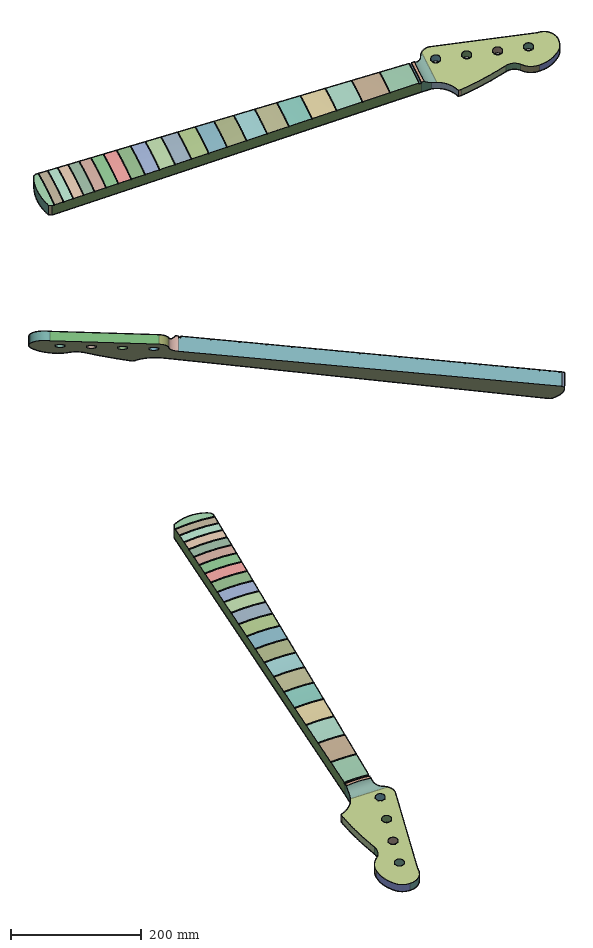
import cadquery as cq
import math

LENGTH = 854.0
NECK_THICKNESS = 26.0
HEADSTOCK_THICKNESS = 15.0

NUT_HALF_WIDTH = 20.5
HEEL_HALF_WIDTH = 33.0
HEEL_SIDE_Y = 11.0
HEEL_ARC_HALF_WIDTH = 31.0
HEEL_ARC_Y = 6.0
FINGERBOARD_RADIUS = 241.5

SCALE_LENGTH = 863.0
NUT_Y = 621.5
NUT_WIDTH = 3.0
NUT_DEPTH = 2.5
FRET_COUNT = 21
FRETS_PER_OCTAVE = 12
FRET_SLOT_WIDTH = 0.6
FRET_SLOT_DEPTH = 1.3
NECK_START_Y = NUT_Y + NUT_WIDTH

SCOOP_TOP_Y = 629.0
SCOOP_FOOT_Y = 650.0

HEAD_LEFT_X = -46.0
HEAD_RIGHT_X = 49.5
TREBLE_HORN_START = (NUT_HALF_WIDTH, 642.0)
TREBLE_HORN_TIP = (HEAD_RIGHT_X, 674.0)
TREBLE_EDGE_START = (HEAD_RIGHT_X, 679.5)
WAIST_START = (32.0, 760.0)
WAIST_END = (37.5, 782.0)
TIP_RIGHTMOST = (HEAD_RIGHT_X, 808.0)
TIP_CREST = (14.0, LENGTH)
TIP_END = (-10.0, 829.0)
BASS_CORNER = (HEAD_LEFT_X, 665.0)
BASS_CURL_MIDDLE = (-34.0, 645.0)
PEG_HOLE_DIAMETER = 15.0
PEG_COUNT = 4
FIRST_PEG_X = -20.5
FIRST_PEG_Y = 665.0
PEG_STEP_X = 10.0
PEG_STEP_Y = 47.0

CUT_MARGIN = 8.5
CUT_WIDTH = HEAD_RIGHT_X - HEAD_LEFT_X + 2 * CUT_MARGIN


def make_outline():
    """Extrude the outline of heel, neck and headstock to full thickness."""
    outline = (
        cq.Workplane("XY")
        .moveTo(-HEEL_ARC_HALF_WIDTH, HEEL_ARC_Y)
        .threePointArc((0, 0), (HEEL_ARC_HALF_WIDTH, HEEL_ARC_Y))
        .lineTo(HEEL_HALF_WIDTH, HEEL_SIDE_Y)
        .lineTo(NUT_HALF_WIDTH, NECK_START_Y)
        .lineTo(*TREBLE_HORN_START)
        .threePointArc((30.0, 661.5), TREBLE_HORN_TIP)
        .lineTo(*TREBLE_EDGE_START)
        .threePointArc((43.0, 718.0), WAIST_START)
        .threePointArc((32.0, 772.5), WAIST_END)
        .threePointArc((47.0, 794.0), TIP_RIGHTMOST)
        .spline([(39.0, 839.0), TIP_CREST], tangents=[(0, 1), (-1, 0)], includeCurrent=True)
        .threePointArc((-2.5, 848.0), TIP_END)
        .lineTo(*BASS_CORNER)
        .threePointArc((-43.0, 652.0), BASS_CURL_MIDDLE)
        .threePointArc((-25.0, 638.5), (-NUT_HALF_WIDTH, NECK_START_Y))
        .lineTo(-HEEL_HALF_WIDTH, HEEL_SIDE_Y)
        .close()
    )
    return outline.extrude(NECK_THICKNESS)


def crown_cylinder(depth):
    """Lengthwise cylinder whose crest lies the given depth below the top of the neck."""
    return (
        cq.Workplane("XZ", origin=(0, -CUT_MARGIN, 0))
        .center(0, NECK_THICKNESS - FINGERBOARD_RADIUS)
        .circle(FINGERBOARD_RADIUS - depth)
        .extrude(-(LENGTH + 2 * CUT_MARGIN))
    )


def make_scoop():
    """Space above the headstock face, with a concave arc rising to the fingerboard."""
    run = SCOOP_FOOT_Y - SCOOP_TOP_Y
    rise = NECK_THICKNESS - HEADSTOCK_THICKNESS
    radius = (run**2 + rise**2) / (2 * rise)
    half_angle = math.asin(run / radius) / 2
    middle = (
        SCOOP_FOOT_Y - radius * math.sin(half_angle),
        HEADSTOCK_THICKNESS + radius * (1 - math.cos(half_angle)),
    )
    far_y = LENGTH + CUT_MARGIN
    return (
        cq.Workplane("YZ")
        .moveTo(SCOOP_TOP_Y, NECK_THICKNESS)
        .threePointArc(middle, (SCOOP_FOOT_Y, HEADSTOCK_THICKNESS))
        .lineTo(far_y, HEADSTOCK_THICKNESS)
        .lineTo(far_y, NECK_THICKNESS)
        .close()
        .extrude(CUT_WIDTH, both=True)
    )


def cross_bar(center_y, width):
    """Upright bar across the neck."""
    height = NECK_THICKNESS + CUT_MARGIN
    bar = cq.Workplane("XY").box(CUT_WIDTH, width, height, centered=(True, True, False))
    return bar.translate((0, center_y, 0))


def make_fret_slots():
    """Equal-tempered fret slots whose floors follow the fingerboard crown."""
    bars = cq.Workplane("XY")
    for fret in range(1, FRET_COUNT + 1):
        distance = SCALE_LENGTH * (1 - 2 ** (-fret / FRETS_PER_OCTAVE))
        bars = bars.add(cross_bar(NUT_Y - distance, FRET_SLOT_WIDTH))
    return bars.combine().cut(crown_cylinder(FRET_SLOT_DEPTH))


def make_nut_slot():
    """Slot for the nut, just past the end of the fretted length."""
    bar = cross_bar(NUT_Y + NUT_WIDTH / 2, NUT_WIDTH)
    return bar.cut(crown_cylinder(NUT_DEPTH))


def make_peg_holes():
    """Row of through holes along the bass edge of the headstock."""
    centers = [(FIRST_PEG_X + i * PEG_STEP_X, FIRST_PEG_Y + i * PEG_STEP_Y) for i in range(PEG_COUNT)]
    return cq.Workplane("XY").pushPoints(centers).circle(PEG_HOLE_DIAMETER / 2).extrude(NECK_THICKNESS)


neck = make_outline().cut(make_scoop()).intersect(crown_cylinder(0))
result = neck.cut(make_fret_slots()).cut(make_nut_slot()).cut(make_peg_holes())